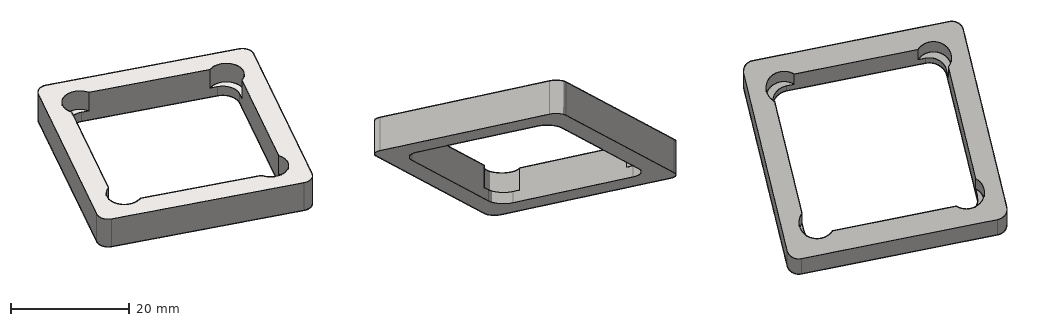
import cadquery as cq

side = 38.0
height = 6.0
wall = 4.0
outer_radius = 2.0
opening_radius = 3.0

relief_radius = 3.05
relief_edge_distance = 3.05
relief_floor = 2.0

opening = side - 2 * wall
relief_spacing = side - 2 * (relief_edge_distance + relief_radius)


def rounded_square_prism(width, corner_radius):
    """Full-height square prism standing on Z = 0, with rounded upright edges."""
    return (
        cq.Workplane("XY")
        .rect(width, width)
        .extrude(height)
        .edges("|Z")
        .fillet(corner_radius)
    )


def corner_reliefs():
    """Four cylinders reaching from the ledges to the top face."""
    return (
        cq.Workplane("XY", origin=(0, 0, relief_floor))
        .rect(relief_spacing, relief_spacing, forConstruction=True)
        .vertices()
        .circle(relief_radius)
        .extrude(height - relief_floor)
    )


frame = rounded_square_prism(side, outer_radius)
frame = frame.cut(rounded_square_prism(opening, opening_radius))
result = frame.cut(corner_reliefs())